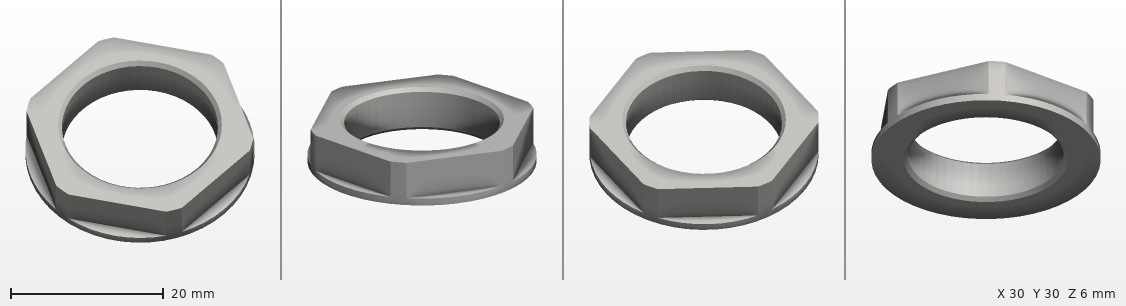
import cadquery as cq
import math

outer_diameter = 30.0
height = 6.0
flange_thickness = 1.0
across_flats = 27.0
bore_diameter = 20.4
bore_chamfer = 0.5

blank = cq.Workplane("XY").circle(outer_diameter / 2).extrude(height)

across_corners = across_flats / math.cos(math.pi / 6)
hexagon = (
    cq.Workplane("XY")
    .polygon(6, across_corners)
    .extrude(height)
    .rotate((0, 0, 0), (0, 0, 1), 30)
)
flange = cq.Workplane("XY").circle(outer_diameter / 2).extrude(flange_thickness)

body = blank.intersect(hexagon.union(flange))

bore_radius = bore_diameter / 2
mouth_radius = bore_radius + bore_chamfer
bore = (
    cq.Workplane("XZ")
    .moveTo(0, 0)
    .lineTo(mouth_radius, 0)
    .lineTo(bore_radius, bore_chamfer)
    .lineTo(bore_radius, height - bore_chamfer)
    .lineTo(mouth_radius, height)
    .lineTo(0, height)
    .close()
    .revolve(360, (0, 0, 0), (0, 1, 0))
)

result = body.cut(bore)